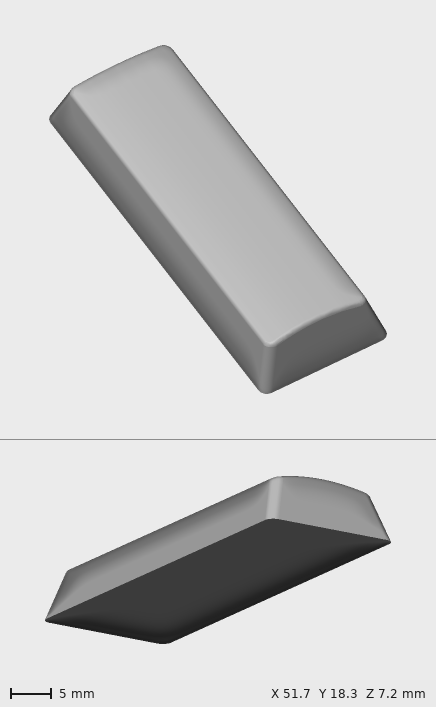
import cadquery as cq

length = 51.65
width = 18.3
height = 7.2

draft_angle = 17.5
crown_radius = 26.35
corner_radius = 1.3
rim_radius = 0.65


def tapered_block():
    """Rectangular base drawn inward to full height, with rounded sloping corners."""
    block = cq.Workplane("XY").rect(length, width).extrude(height, taper=draft_angle)
    sloping_corners = block.edges("not(#Z or |X or |Y)")
    return sloping_corners.fillet(corner_radius)


def crown_cylinder():
    """Cylinder along X whose highest line lies at full height."""
    crown = cq.Workplane("YZ").center(0, height - crown_radius).circle(crown_radius)
    return crown.extrude(length / 2, both=True)


body = tapered_block().intersect(crown_cylinder())

rim = body.faces(">Z").edges()
result = rim.fillet(rim_radius)